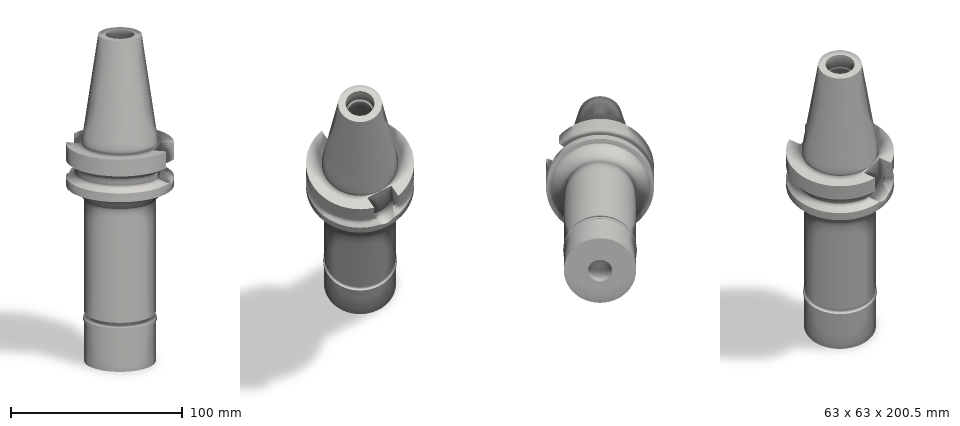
import cadquery as cq

total_length = 200.5

taper_length = 65.3
taper_large_radius = 22.2
taper_slope = 7 / 24
taper_small_radius = taper_large_radius - taper_length * taper_slope / 2
pilot_height = 1.2

flange_radius = 31.5
groove_radius = 26.5
upper_rim_height = 10.2
groove_flank_height = 3.0
groove_floor_height = 4.5
lower_rim_height = 5.5

shank_radius = 20.8
cone_height = 7.8
cone_large_radius = shank_radius + cone_height
shank_length = 70.0
neck_radius = 17.5
neck_height = 3.0

nut_radius = 21.0
collar_radius = 21.5
collar_height = 1.8

bore_radius = 7.0
mouth_radius = 8.5
mouth_depth = 9.0

notch_width = 16.2
notch_floor_x = 22.5
notch_depth = 22.0

taper_bottom_z = total_length - taper_length
flange_top_z = taper_bottom_z - pilot_height
groove_top_z = flange_top_z - upper_rim_height
floor_top_z = groove_top_z - groove_flank_height
floor_bottom_z = floor_top_z - groove_floor_height
lower_rim_top_z = floor_bottom_z - groove_flank_height
flange_bottom_z = lower_rim_top_z - lower_rim_height
cone_bottom_z = flange_bottom_z - cone_height
shank_bottom_z = cone_bottom_z - shank_length
nut_top_z = shank_bottom_z - neck_height
collar_bottom_z = nut_top_z - collar_height


def revolve_profile(points):
    """Revolve a closed (radius, z) outline around the Z axis."""
    return cq.Workplane("XZ").polyline(points).close().revolve(360, (0, 0), (0, 1))


def drive_notch(side):
    """Cutter for a round-ended notch, open at the top; side is +1 or -1 along X."""
    end_radius = notch_width / 2
    arc_center_z = flange_top_z - notch_depth + end_radius
    return (
        cq.Workplane("YZ", origin=(side * notch_floor_x, 0, 0))
        .moveTo(-end_radius, flange_top_z)
        .lineTo(-end_radius, arc_center_z)
        .threePointArc((0, arc_center_z - end_radius), (end_radius, arc_center_z))
        .lineTo(end_radius, flange_top_z)
        .close()
        .extrude(side * flange_radius)
    )


def make_holder():
    """Taper, flange, shank and neck with the stepped bore and two drive notches."""
    holder = revolve_profile([
        (bore_radius, nut_top_z),
        (neck_radius, nut_top_z),
        (neck_radius, shank_bottom_z),
        (shank_radius, shank_bottom_z),
        (shank_radius, cone_bottom_z),
        (cone_large_radius, flange_bottom_z),
        (flange_radius, flange_bottom_z),
        (flange_radius, lower_rim_top_z),
        (groove_radius, floor_bottom_z),
        (groove_radius, floor_top_z),
        (flange_radius, groove_top_z),
        (flange_radius, flange_top_z),
        (taper_large_radius, flange_top_z),
        (taper_large_radius, taper_bottom_z),
        (taper_small_radius, total_length),
        (mouth_radius, total_length),
        (mouth_radius, total_length - mouth_depth),
        (bore_radius, total_length - mouth_depth),
    ])
    for side in (1, -1):
        holder = holder.cut(drive_notch(side))
    return holder


def make_nut():
    """Cylindrical clamping nut with a thin collar at its top."""
    return revolve_profile([
        (bore_radius, 0),
        (nut_radius, 0),
        (nut_radius, collar_bottom_z),
        (collar_radius, collar_bottom_z),
        (collar_radius, nut_top_z),
        (bore_radius, nut_top_z),
    ])


holder = make_holder()
nut = make_nut()

result = cq.Compound.makeCompound([holder.val(), nut.val()])